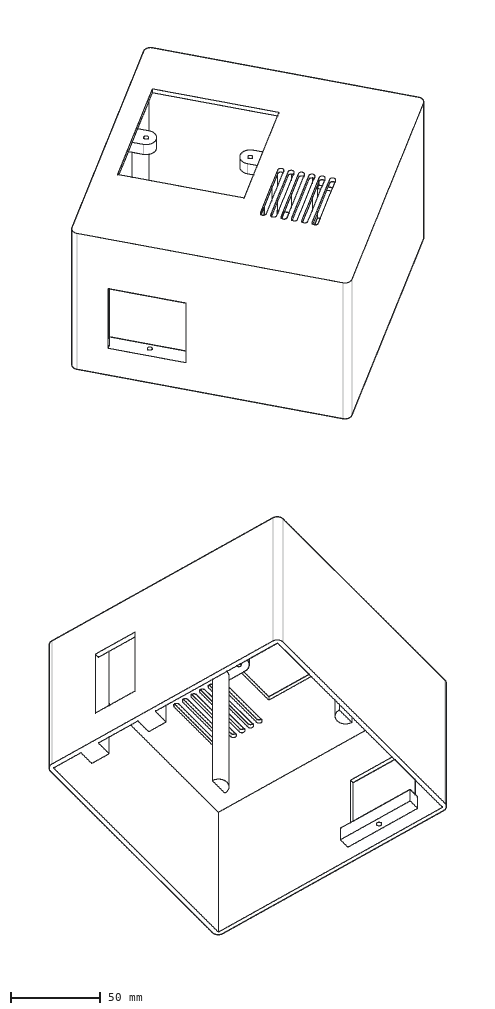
import cadquery as cq

length, width, height = 162.0, 159.0, 103.0
wall = 2.9
front_wall = 2.5
roof = 2.9
corner_radius = 4.0
back_inner_y = width / 2 - wall
front_inner_y = front_wall - width / 2
top_z = height / 2
ceiling_z = top_z - roof
screw_diameter = 2.8

opening_size = 73.2
opening_x, opening_y = -31.5, 10.0
lug_spacing = 60.3
lug_radius = 5.8
lug_thickness = 7.6
pillar_offset = 14.1

slot_count = 6
slot_pitch = 6.0
slot_length, slot_width = 40.0, 3.4
slots_x, slots_y = 33.9, -17.5

window_size = 45.0
window_x, window_z = -36.5, -8.6
ledge_length = 48.6
ledge_depth = 7.0
ledge_height = 9.7

socket_width, socket_height = 27.5, 49.2
socket_x, socket_z = 33.0, -4.5
post_width, post_depth = 12.2, 10.0
post_offset = (socket_width + post_width) / 2


def box(size_x, size_y, size_z, center):
    return cq.Workplane("XY").box(size_x, size_y, size_z).translate(center)


def shell():
    outer = box(length, width, height, (0, 0, 0)).edges("|Z").fillet(corner_radius)
    cavity_width = back_inner_y - front_inner_y
    cavity_y = (back_inner_y + front_inner_y) / 2
    cavity = box(length - 2 * wall, cavity_width, height, (0, cavity_y, -roof))
    return outer.cut(cavity)


def rounded_tab(tip_x, back_x, side, tab_height):
    """Tab hanging from the ceiling; its round end is centred on tip_x."""
    round_end = (
        cq.Workplane("XY", origin=(tip_x, opening_y, ceiling_z))
        .moveTo(0, lug_radius)
        .threePointArc((-side * lug_radius, 0), (0, -lug_radius))
        .close()
        .extrude(-tab_height)
    )
    tab_length = abs(back_x - tip_x)
    if tab_length == 0:
        return round_end
    center = ((tip_x + back_x) / 2, opening_y, ceiling_z - tab_height / 2)
    return round_end.union(box(tab_length, 2 * lug_radius, tab_height, center))


def screw_lug(side):
    """Screw lug on a half-round pillar; side is the sign of its X direction."""
    hole_x = opening_x + side * lug_spacing / 2
    pillar_x = hole_x + side * pillar_offset
    lug = rounded_tab(hole_x, pillar_x, side, lug_thickness)
    hole = (
        cq.Workplane("XY", origin=(hole_x, opening_y, ceiling_z))
        .circle(screw_diameter / 2)
        .extrude(-lug_thickness)
    )
    pillar = rounded_tab(pillar_x, pillar_x, side, height - roof)
    return lug.cut(hole).union(pillar)


def window_ledge():
    sill_z = window_z - window_size / 2
    center_y = front_inner_y + ledge_depth / 2
    ledge = box(ledge_length, ledge_depth, ledge_height, (window_x, center_y, sill_z - ledge_height / 2))
    hole = (
        cq.Workplane("XY", origin=(window_x, center_y, sill_z))
        .circle(screw_diameter / 2)
        .extrude(-ledge_height)
    )
    return ledge.cut(hole)


def socket_post(side):
    post_x = socket_x + side * post_offset
    post = box(post_width, post_depth, height - roof, (post_x, back_inner_y - post_depth / 2, -roof / 2))
    hole = (
        cq.Workplane("XZ", origin=(post_x, back_inner_y - post_depth, socket_z))
        .circle(screw_diameter / 2)
        .extrude(-post_depth)
    )
    return post.cut(hole)


def vent_slots():
    return (
        cq.Workplane("XY", origin=(slots_x, slots_y, ceiling_z))
        .rarray(slot_pitch, 1.6, slot_count, 1)
        .slot2D(slot_length, slot_width, 90)
        .extrude(roof)
    )


result = shell()
result = result.cut(box(opening_size, opening_size, roof, (opening_x, opening_y, top_z - roof / 2)))
result = result.cut(vent_slots())
result = result.cut(box(window_size, front_wall, window_size, (window_x, (front_wall - width) / 2, window_z)))
result = result.cut(box(socket_width, wall, socket_height, (socket_x, (width - wall) / 2, socket_z)))
result = result.union(window_ledge())
for direction in (-1, 1):
    result = result.union(screw_lug(direction))
    result = result.union(socket_post(direction))